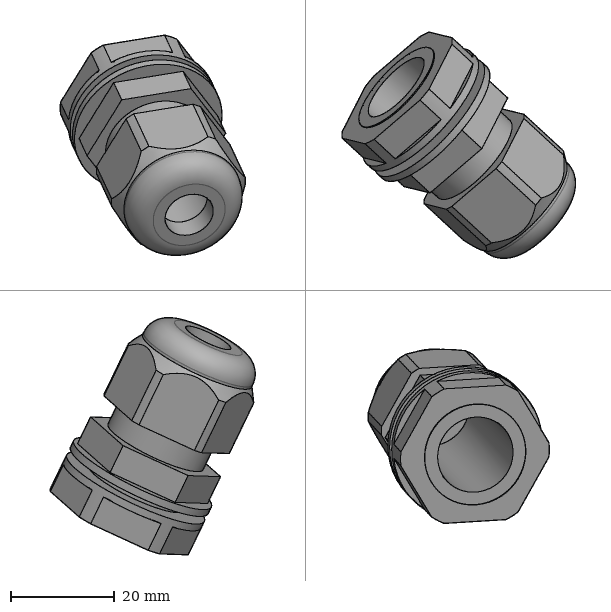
import cadquery as cq
import math

total_length = 40.4
locknut_start = 0.25
locknut_hex_end = 6.1
locknut_end = 7.6
collar_start = 9.25
collar_end = 10.75
body_hex_end = 16.6
cap_start = 21.6
cap_cone_end = 35.4
dome_start = 35.9

flange_radius = 14.75
thread_radius = 10.0
neck_radius = 10.2
locknut_across_flats = 26.83
body_across_flats = 24.0
cap_across_flats = body_across_flats
cap_corner_radius = 13.37
dome_radius = 11.68
cap_cone_slope = 0.61

bore_radius = 7.47
cable_hole_radius = 4.8
bore_depth = dome_start


def cylinder(start, end, radius):
    return cq.Workplane("YZ", origin=(start, 0, 0)).circle(radius).extrude(end - start)


def hexagon(start, end, across_flats):
    """Hexagonal prism along X with two flats facing up and down."""
    across_corners = across_flats / math.cos(math.pi / 6)
    return (
        cq.Workplane("YZ", origin=(start, 0, 0))
        .polygon(6, across_corners)
        .extrude(end - start)
    )


def make_locknut():
    """Hexagon with its corners rounded to the flange diameter."""
    flange = cylinder(locknut_hex_end, locknut_end, flange_radius)
    rounding = cylinder(locknut_start, locknut_hex_end, flange_radius)
    grip = hexagon(locknut_start, locknut_hex_end, locknut_across_flats)
    return flange.union(grip.intersect(rounding))


def make_body():
    """Threaded shank, round collar, spanner hexagon and neck."""
    shank = cylinder(0, collar_start, thread_radius)
    collar = cylinder(collar_start, collar_end, flange_radius)
    spanner_hex = hexagon(collar_end, body_hex_end, body_across_flats)
    neck = cylinder(body_hex_end, cap_start, neck_radius)
    return shank.union(collar).union(spanner_hex).union(neck)


def make_cap():
    """Hexagonal cap with a turned cone behind a rounded dome."""
    cone_start = cap_cone_end - (cap_corner_radius - dome_radius) / cap_cone_slope
    turned_outline = (
        cq.Workplane("XY")
        .moveTo(cap_start, 0)
        .lineTo(cap_start, cap_corner_radius)
        .lineTo(cone_start, cap_corner_radius)
        .lineTo(cap_cone_end, dome_radius)
        .lineTo(cap_cone_end, 0)
        .close()
    )
    turned = turned_outline.revolve(360, (0, 0, 0), (1, 0, 0))
    grip = hexagon(cap_start, cap_cone_end, cap_across_flats).intersect(turned)

    rim = cylinder(cap_cone_end, dome_start, dome_radius)
    dome_length = total_length - dome_start
    dome_face_radius = dome_radius - dome_length
    arc_reach = dome_length * math.sin(math.pi / 4)
    dome = (
        cq.Workplane("XY")
        .moveTo(dome_start, 0)
        .lineTo(dome_start, dome_radius)
        .threePointArc(
            (dome_start + arc_reach, dome_face_radius + arc_reach),
            (total_length, dome_face_radius),
        )
        .lineTo(total_length, 0)
        .close()
        .revolve(360, (0, 0, 0), (1, 0, 0))
    )
    return grip.union(rim).union(dome)


bore = cylinder(0, bore_depth, bore_radius)
cable_hole = cylinder(0, total_length, cable_hole_radius)

result = make_body().union(make_locknut()).union(make_cap()).cut(bore).cut(cable_hole)